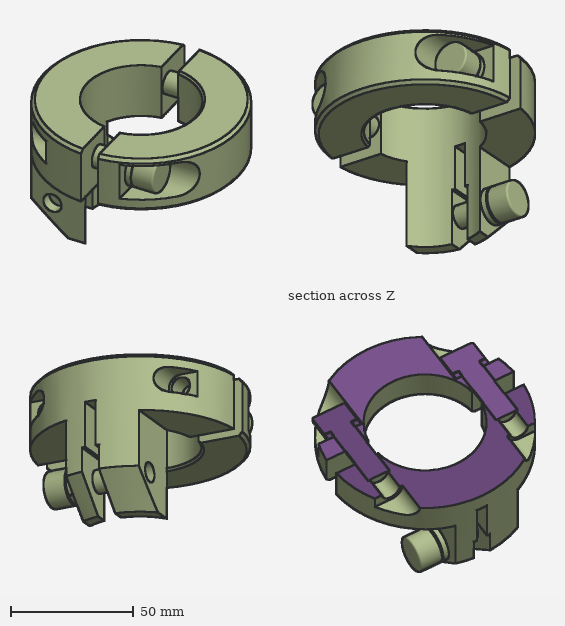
import cadquery as cq


ring_radius = 45.0
bore_radius = 25.0
ring_height = 25.0
ring_gap = 7.7
outer_chamfer = 1.5
bore_chamfer = 1.0

tab_depth = 39.0
tab_front_y = -19.9
tab_back_y = 11.9
tab_cone_chamfer = 14.5
narrow_slot_width = 4.9
narrow_slot_top = 5.85
wide_slot_top = -13.9

shank_diameter = 10.0
tap_drill_diameter = 8.4
head_diameter = 15.8
head_height = 10.0
head_fillet = 0.8
screw_length = 30.0
washer_thickness = 2.7
washer_bore = 10.2
washer_split = 0.5

ring_screw_y = 30.6
ring_screw_z = 14.0
head_pocket_floor_x = 13.05
head_pocket_width = 16.6
ring_head_gap = 0.2
ring_split_angle = 0.0
tap_pocket_floor_x = -23.6
tap_pocket_width = 11.0

tab_screw_x = -30.5
tab_screw_z = -23.9
tab_head_gap = 0.6
tab_split_angle = 132.0

half_gap = ring_gap / 2
tab_bottom = -tab_depth
ring_head_x = head_pocket_floor_x + washer_thickness + ring_head_gap
tab_head_y = tab_back_y + washer_thickness + tab_head_gap
reach = 2 * ring_radius

tab_screw_plane = cq.Plane(origin=(tab_screw_x, tab_head_y, tab_screw_z), xDir=(1, 0, 0), normal=(0, 1, 0))


def ring_screw_plane(side):
    """Frame of the ring screw on the +Y (side = 1) or -Y (side = -1) half; local X points at the bore."""
    origin = (ring_head_x, side * ring_screw_y, ring_screw_z)
    return cq.Plane(origin=origin, xDir=(0, -side, 0), normal=(1, 0, 0))


def box(x_range, y_range, z_range):
    """Box between the given (low, high) limits."""
    lows, highs = zip(x_range, y_range, z_range)
    size = [high - low for low, high in zip(lows, highs)]
    return cq.Workplane().box(*size, centered=False).translate(lows)


def local_cylinder(plane, diameter, start, end):
    """Cylinder along a screw frame, from local height start to end."""
    return cq.Workplane(plane).workplane(offset=start).circle(diameter / 2).extrude(end - start)


def tapped_hole(plane):
    """Hole that fits the shank, continuing past the screw tip at the tap drill size."""
    fitted = local_cylinder(plane, shank_diameter, -screw_length, 0)
    drilled = local_cylinder(plane, tap_drill_diameter, -reach, -screw_length)
    return fitted.union(drilled)


def open_pocket(side, floor_x, end_x, width):
    """Pocket along X around a ring screw: round on the inner side, open to the outside of the ring."""
    round_side = (
        cq.Workplane("YZ", origin=(floor_x, side * ring_screw_y, ring_screw_z))
        .circle(width / 2)
        .extrude(end_x - floor_x)
    )
    x_range = sorted((floor_x, end_x))
    y_range = sorted((side * ring_screw_y, side * reach))
    z_range = (ring_screw_z - width / 2, ring_screw_z + width / 2)
    return round_side.union(box(x_range, y_range, z_range))


def make_right_half():
    """Plain half ring with the pockets for the screw heads."""
    ring = cq.Workplane().circle(ring_radius).extrude(ring_height).faces("<Z or >Z").chamfer(outer_chamfer)
    bore = cq.Workplane().circle(bore_radius).extrude(ring_height)
    half = ring.cut(bore)
    half = half.edges(cq.selectors.RadiusNthSelector(0)).chamfer(bore_chamfer)
    half = half.intersect(box((half_gap, reach), (-reach, reach), (0, ring_height)))
    for side in (-1, 1):
        half = half.cut(open_pocket(side, head_pocket_floor_x, reach, head_pocket_width))
        half = half.cut(local_cylinder(ring_screw_plane(side), shank_diameter, -screw_length, 0))
    return half


def make_left_half():
    """Half ring that takes the screw tips and carries the slotted tab."""
    blank = (
        cq.Workplane(origin=(0, 0, tab_bottom))
        .circle(ring_radius)
        .extrude(tab_depth + ring_height)
        .faces(">Z")
        .chamfer(outer_chamfer)
        .faces("<Z")
        .chamfer(tab_cone_chamfer)
    )
    ring_zone = box((-reach, -half_gap), (-reach, reach), (0, ring_height))
    tab_zone = box((-reach, 0), (tab_front_y, tab_back_y), (tab_bottom, 0))
    bore = cq.Workplane(origin=(0, 0, tab_bottom)).circle(bore_radius).extrude(tab_depth + ring_height)
    half = blank.intersect(ring_zone.union(tab_zone)).cut(bore)

    narrow_half = narrow_slot_width / 2
    half = half.cut(box((-reach, 0), (-narrow_half, narrow_half), (tab_bottom, narrow_slot_top)))
    half = half.cut(box((-reach, 0), (-half_gap, half_gap), (tab_bottom, wide_slot_top)))

    for side in (-1, 1):
        half = half.cut(open_pocket(side, tap_pocket_floor_x, -reach, tap_pocket_width))
        half = half.cut(tapped_hole(ring_screw_plane(side)))
    return half.cut(tapped_hole(tab_screw_plane))


def make_screw(plane):
    """Cylinder-head screw with a rounded outer head edge."""
    head = local_cylinder(plane, head_diameter, 0, head_height)
    head = head.faces(cq.selectors.DirectionMinMaxSelector(plane.zDir, True)).edges().fillet(head_fillet)
    return head.union(local_cylinder(plane, shank_diameter, -screw_length, 0))


def make_washer(plane, head_gap, split_angle):
    """Spring washer on its seat below the head, split at split_angle from local X."""
    washer = (
        cq.Workplane(plane)
        .workplane(offset=-head_gap - washer_thickness)
        .circle(head_diameter / 2)
        .circle(washer_bore / 2)
        .extrude(washer_thickness)
    )
    split = (
        cq.Workplane(plane)
        .transformed(rotate=(0, 0, split_angle))
        .center(head_diameter / 2, 0)
        .rect(head_diameter, washer_split)
        .extrude(-head_gap - washer_thickness)
    )
    return washer.cut(split)


right_half = make_right_half()
left_half = make_left_half()
screws = [make_screw(tab_screw_plane)]
washers = [make_washer(tab_screw_plane, tab_head_gap, tab_split_angle)]
for side in (-1, 1):
    screws.append(make_screw(ring_screw_plane(side)))
    washers.append(make_washer(ring_screw_plane(side), ring_head_gap, ring_split_angle))

fasteners = [body.val() for body in screws + washers]
result = cq.Compound.makeCompound([right_half.val(), left_half.val(), *fasteners])